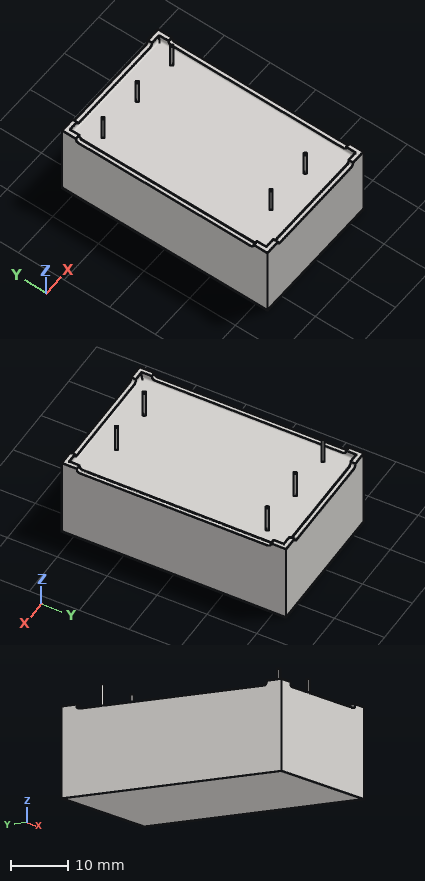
import cadquery as cq

case_width = 28.0
case_length = 45.0
case_height = 16.5
pin_top = 20.5

wall = 1.0
notch_depth = 0.8
notch_floor = case_height - notch_depth
notch_radius = 0.65
corner_post = 3.05
meniscus_radius = 0.5

pin_diameter = 0.6
pin_pitch = 5.0
pin_row_y = 16.5
pin_positions = [(step * pin_pitch, pin_row_y) for step in (-2, 0, 2)]
pin_positions += [(step * pin_pitch, -pin_row_y) for step in (-1, 1)]


def box_from(width, length, bottom, height):
    """Box centred on the Z axis with its underside at the given height."""
    return cq.Workplane("XY").workplane(offset=bottom).rect(width, length).extrude(height)


def recess():
    """Opening inside the rim, with the lower edges rounded where the potting meets the wall."""
    bottom = notch_floor - meniscus_radius
    opening = box_from(case_width - 2 * wall, case_length - 2 * wall, bottom, case_height - bottom)
    return opening.faces("<Z").edges().fillet(meniscus_radius)


def notch_across_x():
    """Cutter through both side walls, with rounded floor ends."""
    length = case_length - 2 * corner_post
    cutter = box_from(case_width, length, notch_floor, notch_depth)
    return cutter.faces("<Z").edges("|X").fillet(notch_radius)


def notch_across_y():
    """Cutter through both end walls, with rounded floor ends."""
    width = case_width - 2 * corner_post
    cutter = box_from(width, case_length, notch_floor, notch_depth)
    return cutter.faces("<Z").edges("|Y").fillet(notch_radius)


def pins():
    """Round pins rising from inside the potting."""
    root = notch_floor - 2 * meniscus_radius
    plane = cq.Workplane("XY").workplane(offset=root)
    return plane.pushPoints(pin_positions).circle(pin_diameter / 2).extrude(pin_top - root)


case = box_from(case_width, case_length, 0, case_height)
case = case.cut(recess()).cut(notch_across_x()).cut(notch_across_y())
result = case.union(pins())